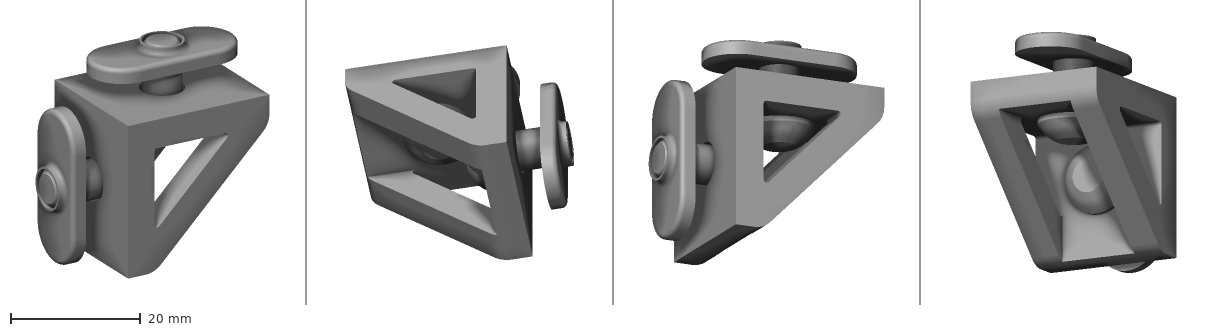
import cadquery as cq
import math

leg = 25.4
width = 22.22
wall = 4.75
bracket_corner_radius = 3.95
window_corner_radius = 0.5
shank_hole_diameter = 7.13

gap = 4.23
plate_thickness = 2.43
plate_width = width / 2
boss_height = 1.25
boss_diameter = 7.0
edge_radius = 0.75

shank_diameter = 6.33
end_chamfer = 0.75
head_radius = 5.55
head_rim = 0.8
dome_height = 2.63
crown_radius = 2.65
dome_radius = 6.33

plate_bottom = gap
plate_top = plate_bottom + plate_thickness
boss_top = plate_top + boss_height


def place_on_legs(solid):
    """Return copies of a solid built along +Z: one on the top leg, one on the front leg."""
    on_top = solid.translate((0, leg / 2, 0))
    on_front = solid.rotate((0, 0, 0), (1, 0, 0), 90).translate((0, 0, -leg / 2))
    return [on_top, on_front]


def extrude_across(points, across):
    """Extrude an outline of (Y, Z) points symmetrically along X to the given total width."""
    return cq.Workplane("YZ").polyline(points).close().extrude(across / 2, both=True)


def make_bracket():
    """Two legs joined by a triangular rib at each side; every rib has a triangular window."""
    bracket = extrude_across([(0, 0), (leg, 0), (leg, -wall), (wall, -leg), (0, -leg)], width)
    top_leg_corner = cq.NearestToPointSelector((0, leg, -wall))
    front_leg_corner = cq.NearestToPointSelector((0, wall, -leg))
    bracket = bracket.edges(top_leg_corner + front_leg_corner).fillet(bracket_corner_radius)

    window_reach = leg - wall * math.sqrt(2)
    window = extrude_across([(wall, -wall), (window_reach, -wall), (wall, -window_reach)], width)
    bracket = bracket.cut(window.edges("|X").fillet(window_corner_radius))

    slot = extrude_across([(wall, -wall), (leg, -wall), (leg, -leg), (wall, -leg)], width - 2 * wall)
    inner_corner = cq.NearestToPointSelector((0, wall, -wall))
    bracket = bracket.cut(slot.edges(inner_corner).fillet(window_corner_radius))

    hole = cq.Workplane("XY").circle(shank_hole_diameter / 2).extrude(-wall)
    for placed_hole in place_on_legs(hole):
        bracket = bracket.cut(placed_hole)
    return bracket


def make_pin():
    """Pin on the Z axis, with the outer face of the leg at Z = 0."""
    shank_radius = shank_diameter / 2
    head_seat = -wall
    dome_base = head_seat - head_rim
    crown = dome_base - dome_height
    profile = (
        cq.Workplane("XZ")
        .moveTo(0, boss_top)
        .lineTo(shank_radius - end_chamfer, boss_top)
        .lineTo(shank_radius, boss_top - end_chamfer)
        .lineTo(shank_radius, head_seat)
        .lineTo(head_radius, head_seat)
        .lineTo(head_radius, dome_base)
        .radiusArc((crown_radius, crown), dome_radius)
        .lineTo(0, crown)
        .close()
    )
    return profile.revolve(360, (0, 0, 0), (0, 1, 0))


def make_plate():
    """Stadium plate with a filleted boss, bored to fit the shank."""
    plate = (
        cq.Workplane("XY", origin=(0, 0, plate_bottom))
        .slot2D(leg, plate_width, 90)
        .extrude(plate_thickness)
        .faces(">Z")
        .edges()
        .fillet(edge_radius)
    )
    boss = cq.Workplane("XY", origin=(0, 0, plate_top)).circle(boss_diameter / 2).extrude(boss_height)
    plate = plate.union(boss)
    boss_foot = cq.NearestToPointSelector((0, 0, plate_top))
    plate = plate.edges("%CIRCLE").edges(boss_foot).fillet(edge_radius)
    bore = cq.Workplane("XY", origin=(0, 0, plate_bottom)).circle(shank_diameter / 2)
    return plate.cut(bore.extrude(plate_thickness + boss_height))


bracket = make_bracket()
pins = place_on_legs(make_pin())
plates = place_on_legs(make_plate())

result = cq.Compound.makeCompound(
    [bracket.val(), *[pin.val() for pin in pins], *[plate.val() for plate in plates]]
)